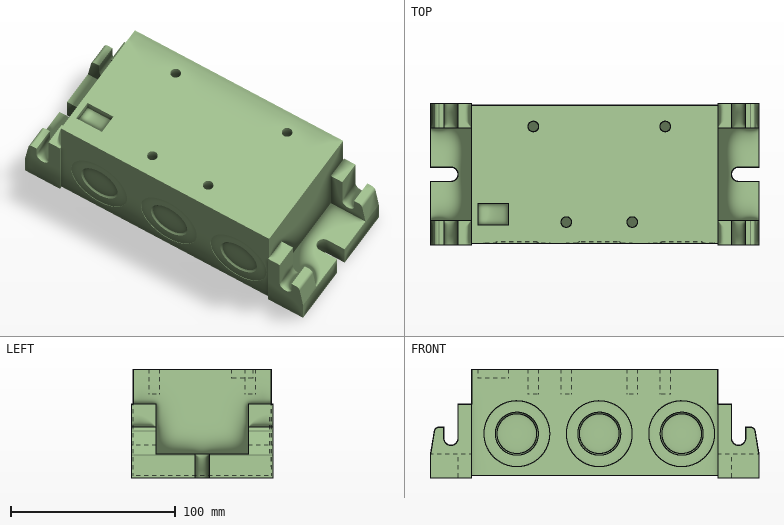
import cadquery as cq

FOOT_LENGTH = 25.0
OVERALL_LENGTH = 199.5
BODY_LENGTH = OVERALL_LENGTH - 2 * FOOT_LENGTH
BODY_WIDTH = 84.0
BODY_TOP = 66.0
GROUND_CLEARANCE = 1.6
BODY_FRONT = -BODY_WIDTH / 2
PATTERN_X = 2.75

FOOT_WIDTH = 86.0
FOOT_GAP = 56.0
FOOT_FLOOR = 14.8
POST_TOP = 45.0
HOOK_TOP = 31.0
TAPER_START = 14.0
TAPER_INSET = 2.8
HOOK_ROUND = 3.0
SLOT_WIDTH = 8.5
SLOT_CENTRE = 12.5
NOTCH_BOTTOM = 20.0

PORT_PITCH = 50.0
PORT_HEIGHT = 27.0
PORT_OFFSETS = (-PORT_PITCH, 0.0, PORT_PITCH)
SEAT_DIAMETER = 40.0
SEAT_DEPTH = 0.3
RECESS_FLOOR_DIAMETER = 24.12
RECESS_DEPTH = 1.0
RECESS_MOUTH_DIAMETER = RECESS_FLOOR_DIAMETER + 2 * RECESS_DEPTH

HOLE_DIAMETER = 6.4
HOLE_DEPTH = 15.0
HOLE_ROW_Y = 29.0
REAR_HOLE_SPACING = 80.0
FRONT_HOLE_SPACING = 40.0
POCKET_LENGTH = 18.5
POCKET_WIDTH = 13.0
POCKET_DEPTH = 5.3
POCKET_X = -61.6
POCKET_Y = -24.3


def make_body():
    height = BODY_TOP - GROUND_CLEARANCE
    return (
        cq.Workplane("XY", origin=(0, 0, GROUND_CLEARANCE))
        .box(BODY_LENGTH, BODY_WIDTH, height, centered=(True, True, False))
    )


def make_foot():
    """Left foot: two hooked cheeks joined by a slotted floor."""
    notch_radius = SLOT_WIDTH / 2
    notch_left = SLOT_CENTRE - notch_radius
    notch_right = SLOT_CENTRE + notch_radius
    notch_centre_z = NOTCH_BOTTOM + notch_radius
    foot = (
        cq.Workplane("XZ")
        .moveTo(0, 0)
        .lineTo(FOOT_LENGTH, 0)
        .lineTo(FOOT_LENGTH, POST_TOP)
        .lineTo(notch_right, POST_TOP)
        .lineTo(notch_right, notch_centre_z)
        .threePointArc((SLOT_CENTRE, NOTCH_BOTTOM), (notch_left, notch_centre_z))
        .lineTo(notch_left, HOOK_TOP)
        .lineTo(TAPER_INSET, HOOK_TOP)
        .lineTo(0, TAPER_START)
        .close()
        .extrude(FOOT_WIDTH / 2, both=True)
    )
    hook_edge = cq.selectors.NearestToPointSelector((TAPER_INSET, 0, HOOK_TOP))
    foot = foot.edges(hook_edge).fillet(HOOK_ROUND)

    gap = (
        cq.Workplane("XY", origin=(0, 0, FOOT_FLOOR))
        .box(FOOT_LENGTH, FOOT_GAP, POST_TOP, centered=(False, True, False))
    )
    slot = (
        cq.Workplane("XY")
        .slot2D(2 * SLOT_CENTRE + SLOT_WIDTH, SLOT_WIDTH)
        .extrude(FOOT_FLOOR)
    )
    foot = foot.cut(gap).cut(slot)
    return foot.translate((-OVERALL_LENGTH / 2, 0, 0))


def make_port_cutter(x):
    """Shallow round seat with a flat-bottomed conical recess behind it."""
    wall = cq.Workplane("XZ", origin=(x, BODY_FRONT, PORT_HEIGHT))
    seat = wall.circle(SEAT_DIAMETER / 2).extrude(-SEAT_DEPTH)
    recess = (
        wall.workplane(offset=-SEAT_DEPTH)
        .circle(RECESS_MOUTH_DIAMETER / 2)
        .workplane(offset=-RECESS_DEPTH)
        .circle(RECESS_FLOOR_DIAMETER / 2)
        .loft()
    )
    return seat.union(recess)


def cut_top_holes(body):
    rear = [(PATTERN_X + side * REAR_HOLE_SPACING / 2, HOLE_ROW_Y) for side in (-1, 1)]
    front = [(PATTERN_X + side * FRONT_HOLE_SPACING / 2, -HOLE_ROW_Y) for side in (-1, 1)]
    holes = (
        cq.Workplane("XY", origin=(0, 0, BODY_TOP))
        .pushPoints(rear + front)
        .circle(HOLE_DIAMETER / 2)
        .extrude(-HOLE_DEPTH)
    )
    return body.cut(holes)


def cut_top_pocket(body):
    pocket = (
        cq.Workplane("XY", origin=(POCKET_X, POCKET_Y, BODY_TOP))
        .rect(POCKET_LENGTH, POCKET_WIDTH)
        .extrude(-POCKET_DEPTH)
    )
    return body.cut(pocket)


body = make_body()
for offset in PORT_OFFSETS:
    body = body.cut(make_port_cutter(PATTERN_X + offset))
body = cut_top_holes(body)
body = cut_top_pocket(body)

left_foot = make_foot()
right_foot = left_foot.mirror("YZ")
result = body.union(left_foot).union(right_foot)